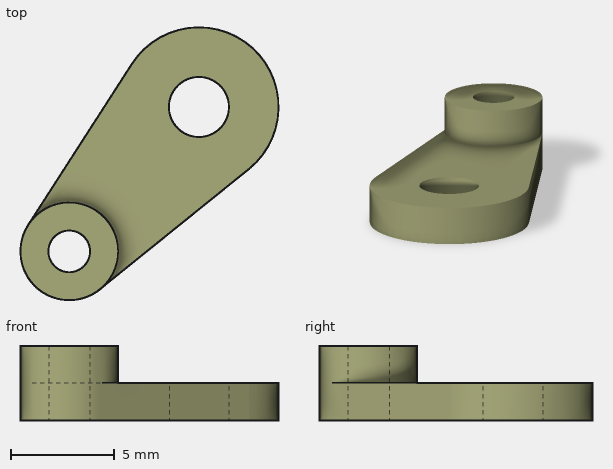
import cadquery as cq
import math

overall_x = 12.47
overall_y = 13.18
plate_thickness = 1.82
boss_height = 3.6
boss_diameter = 4.72
boss_hole_diameter = 2.0
large_end_radius = 3.85
large_hole_diameter = 2.89
right_side_shift = math.radians(4)

boss_radius = boss_diameter / 2
large_x = overall_x - boss_radius - large_end_radius
large_y = overall_y - boss_radius - large_end_radius

lever_angle = math.atan2(large_y, large_x)
lever_length = math.hypot(large_x, large_y)
normal_offset = math.acos((boss_radius - large_end_radius) / lever_length)
left_normal = lever_angle + normal_offset
right_normal = lever_angle - normal_offset
right_boss_angle = right_normal + right_side_shift


def boss_point(angle):
    """Point on the small end's circle at the given angle."""
    return boss_radius * math.cos(angle), boss_radius * math.sin(angle)


def large_point(angle):
    """Point on the large end's circle at the given angle."""
    return large_x + large_end_radius * math.cos(angle), large_y + large_end_radius * math.sin(angle)


def make_plate():
    """Flat lever: two round ends joined by straight sides."""
    return (
        cq.Workplane("XY")
        .moveTo(*boss_point(right_boss_angle))
        .lineTo(*large_point(right_normal))
        .threePointArc(large_point(lever_angle), large_point(left_normal))
        .lineTo(*boss_point(left_normal))
        .threePointArc(boss_point(lever_angle + math.pi), boss_point(right_boss_angle))
        .close()
        .extrude(plate_thickness)
    )


def make_boss():
    """Raised cylinder standing on the small end."""
    return cq.Workplane("XY").circle(boss_radius).extrude(boss_height)


def make_through_hole(x, y, diameter):
    """Cutter for a vertical hole through the full height."""
    return cq.Workplane("XY").center(x, y).circle(diameter / 2).extrude(boss_height)


result = (
    make_plate()
    .union(make_boss())
    .cut(make_through_hole(0, 0, boss_hole_diameter))
    .cut(make_through_hole(large_x, large_y, large_hole_diameter))
)